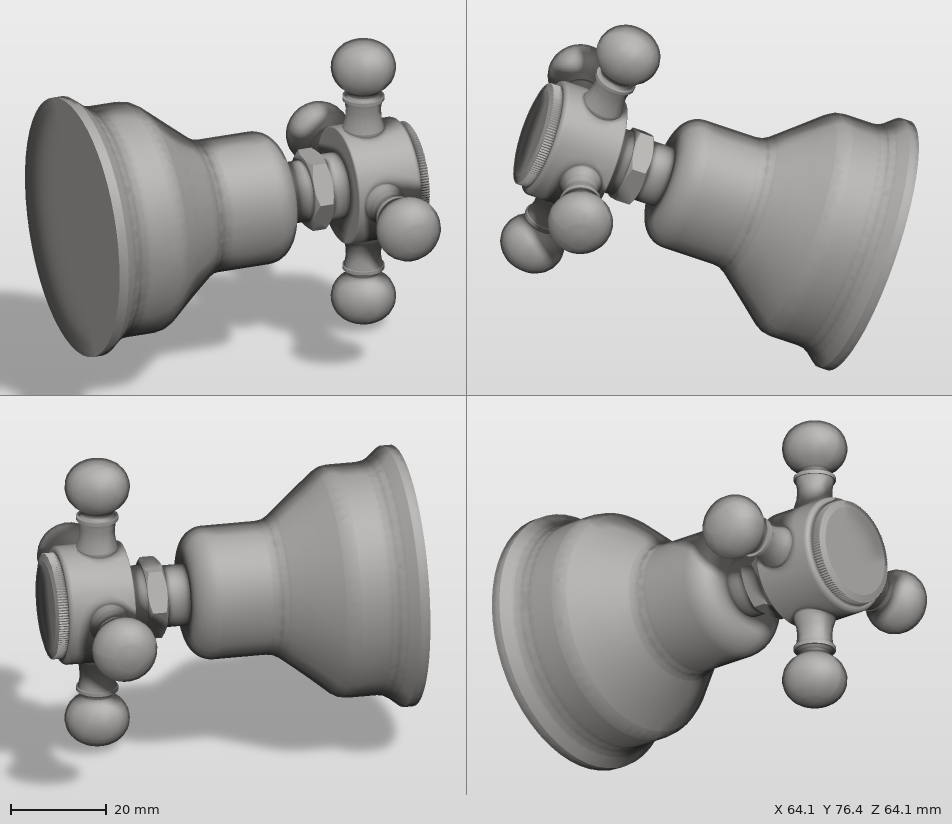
import cadquery as cq
import math

OVERALL_LENGTH = 76.4

BASE_RADIUS = 27.5
LIP_HEIGHT = 2.1
SKIRT_RADIUS = 24.5
SKIRT_BOTTOM = 5.7
SKIRT_TOP = 15.6
BELL_NECK_RADIUS = 14.05
CONE_TOP = 28.6
BELL_HEIGHT = 46.7
BELL_FILLET = 5.0
HEIGHT_TOLERANCE = 0.01

LOWER_STEM_RADIUS = 6.5
UPPER_STEM_RADIUS = 7.0
NUT_BOTTOM = 51.7
NUT_TOP = 55.9
NUT_SIDES = 6
NUT_ACROSS_FLATS = 15.05
NUT_CHAMFER_ANGLE = 30.0

HUB_RADIUS = 12.5
HUB_BOTTOM = 59.7
HUB_TOP = 73.9
HUB_TOP_FILLET = 1.0
HUB_BOTTOM_FILLET = 0.4
CAP_RADIUS = 11.15
CAP_CHAMFER_HEIGHT = 0.45
CAP_CHAMFER_WIDTH = 1.4
KNURL_COUNT = 120
KNURL_DEPTH = 0.2

ARM_COUNT = 4
ARM_HEIGHT = 65.3
ARM_ROOT = 7.65
SHANK_ROOT_RADIUS = 4.4
SHANK_END_RADIUS = 4.05
SHANK_WAIST_RADIUS = 3.7
SHANK_WAIST = 16.3
COLLAR_START = 18.95
COLLAR_END = 19.7
COLLAR_RADIUS = 4.4
COLLAR_STEP_RADIUS = 3.8
GROOVE_START = 20.3
GROOVE_END = 20.85
GROOVE_RADIUS = 3.3
BALL_START = 21.55
BALL_CENTRE = 26.3
BALL_RADIUS = 6.9
BALL_ARC_RADIUS = 5.4
DOME_RADIUS = 3.1
HANDLE_SPAN = 64.1
ARM_LENGTH = HANDLE_SPAN / 2


def cylinder(radius, bottom, top):
    """Round bar along Y between two heights."""
    return cq.Workplane("XZ", origin=(0, bottom, 0)).circle(radius).extrude(bottom - top)


def revolve_about_y(profile):
    """Close a half profile in the XY plane and turn it around the spindle axis."""
    return profile.close().revolve(360, (0, 0, 0), (0, 1, 0))


def make_bell():
    profile = cq.Workplane("XY").polyline([
        (0, 0),
        (BASE_RADIUS, 0),
        (BASE_RADIUS, LIP_HEIGHT),
        (SKIRT_RADIUS, SKIRT_BOTTOM),
        (SKIRT_RADIUS, SKIRT_TOP),
        (BELL_NECK_RADIUS, CONE_TOP),
        (BELL_NECK_RADIUS, BELL_HEIGHT),
        (0, BELL_HEIGHT),
    ])
    corner_heights = (SKIRT_BOTTOM, SKIRT_TOP, CONE_TOP, BELL_HEIGHT)

    def is_rounded_corner(edge):
        circular = edge.geomType() == "CIRCLE"
        return circular and any(abs(edge.Center().y - h) < HEIGHT_TOLERANCE for h in corner_heights)

    return revolve_about_y(profile).edges().filter(is_rounded_corner).fillet(BELL_FILLET)


def make_nut():
    """Hexagon with corners on the X axis, both faces chamfered by a cone."""
    flat_radius = NUT_ACROSS_FLATS / 2
    corner_radius = flat_radius / math.cos(math.pi / NUT_SIDES)
    drop = (corner_radius - flat_radius) * math.tan(math.radians(NUT_CHAMFER_ANGLE))
    hexagon = (
        cq.Workplane("XZ", origin=(0, NUT_BOTTOM, 0))
        .polygon(NUT_SIDES, 2 * corner_radius)
        .extrude(NUT_BOTTOM - NUT_TOP)
    )
    envelope = revolve_about_y(cq.Workplane("XY").polyline([
        (0, NUT_BOTTOM),
        (flat_radius, NUT_BOTTOM),
        (corner_radius, NUT_BOTTOM + drop),
        (corner_radius, NUT_TOP - drop),
        (flat_radius, NUT_TOP),
        (0, NUT_TOP),
    ]))
    return hexagon.intersect(envelope)


def make_hub():
    hub = cylinder(HUB_RADIUS, HUB_BOTTOM, HUB_TOP)
    return hub.edges(">Y").fillet(HUB_TOP_FILLET).edges("<Y").fillet(HUB_BOTTOM_FILLET)


def make_cap():
    """Disc with V-shaped knurl teeth, topped by a shallow chamfered plate."""
    knurl_top = OVERALL_LENGTH - CAP_CHAMFER_HEIGHT
    root_radius = CAP_RADIUS - KNURL_DEPTH
    outline = []
    for i in range(2 * KNURL_COUNT):
        radius = root_radius if i % 2 else CAP_RADIUS
        angle = math.pi * i / KNURL_COUNT
        outline.append((radius * math.cos(angle), radius * math.sin(angle)))
    teeth = (
        cq.Workplane("XZ", origin=(0, HUB_TOP, 0))
        .polyline(outline)
        .close()
        .extrude(HUB_TOP - knurl_top)
    )
    plate = revolve_about_y(cq.Workplane("XY").polyline([
        (0, HUB_TOP),
        (root_radius, HUB_TOP),
        (root_radius, knurl_top),
        (root_radius - CAP_CHAMFER_WIDTH, OVERALL_LENGTH),
        (0, OVERALL_LENGTH),
    ]))
    return teeth.union(plate)


def make_arm():
    """One arm along +X: waisted shank, collar, groove and domed ball."""
    arc_offset = BALL_RADIUS - BALL_ARC_RADIUS

    def ball_reach(radius):
        """Distance from the ball centre plane at which its arc has this radius."""
        return math.sqrt(BALL_ARC_RADIUS**2 - (radius - arc_offset) ** 2)

    neck_radius = arc_offset + math.sqrt(BALL_ARC_RADIUS**2 - (BALL_CENTRE - BALL_START) ** 2)
    dome_start = BALL_CENTRE + ball_reach(DOME_RADIUS)
    dome_height = ARM_LENGTH - dome_start
    dome_sphere_radius = (DOME_RADIUS**2 + dome_height**2) / (2 * dome_height)
    dome_mid_radius = DOME_RADIUS / 2
    dome_mid = ARM_LENGTH - dome_sphere_radius + math.sqrt(dome_sphere_radius**2 - dome_mid_radius**2)

    profile = (
        cq.Workplane("XY")
        .moveTo(ARM_ROOT, 0)
        .lineTo(ARM_ROOT, SHANK_ROOT_RADIUS)
        .lineTo(HUB_RADIUS, SHANK_ROOT_RADIUS)
        .threePointArc((SHANK_WAIST, SHANK_WAIST_RADIUS), (COLLAR_START, SHANK_END_RADIUS))
        .lineTo(COLLAR_START, COLLAR_RADIUS)
        .lineTo(COLLAR_END, COLLAR_RADIUS)
        .lineTo(COLLAR_END, COLLAR_STEP_RADIUS)
        .lineTo(GROOVE_START, GROOVE_RADIUS)
        .lineTo(GROOVE_END, GROOVE_RADIUS)
        .lineTo(BALL_START, neck_radius)
        .threePointArc((BALL_CENTRE, BALL_RADIUS), (dome_start, DOME_RADIUS))
        .threePointArc((dome_mid, dome_mid_radius), (ARM_LENGTH, 0))
        .close()
    )
    arm = profile.revolve(360, (0, 0, 0), (1, 0, 0))
    return arm.translate((0, ARM_HEIGHT, 0))


result = (
    make_bell()
    .union(cylinder(LOWER_STEM_RADIUS, BELL_HEIGHT, NUT_BOTTOM))
    .union(make_nut())
    .union(cylinder(UPPER_STEM_RADIUS, NUT_TOP, HUB_BOTTOM))
    .union(make_hub())
    .union(make_cap())
)

arm = make_arm()
for i in range(ARM_COUNT):
    result = result.union(arm.rotate((0, 0, 0), (0, 1, 0), i * 360 / ARM_COUNT))